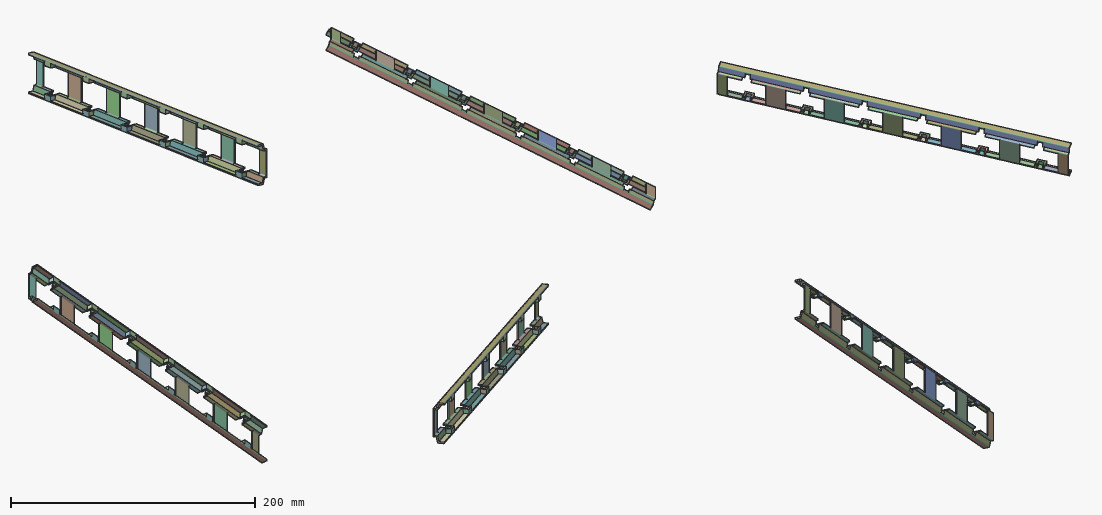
import cadquery as cq

length = 300.0
depth = 9.5
height = 35.0
thickness = 1.2

lip_thickness = 1.5
half_height = height / 2
foot_drop = 5.0
wall_back_at_lip = 5.7
wall_back_at_foot = 7.0
lip_bend_radius = 1.0
lip_edge_radius = 0.5
foot_outer_radius = 0.5
foot_inner_radius = 1.0

bay_count = 6
bay_pitch = length / bay_count
window_length = 33.0
notch_length = 8.0
block_wall = 1.8
block_height = 5.5

pick_margin = 0.03

bay_centres = [(i + 0.5) * bay_pitch for i in range(bay_count)]


def box(x_start, x_end, y_start, y_end, z_start, z_end):
    """Box between two opposite corners."""
    size = (x_end - x_start, y_end - y_start, z_end - z_start)
    return cq.Workplane().box(*size, centered=False).translate((x_start, y_start, z_start))


def mirrored(upper):
    """An upper feature together with its mirror image below mid-height."""
    return upper.union(upper.mirror("XY"))


def round_edge(part, y, z, radius):
    """Fillet the lengthwise edge that runs through (y, z)."""
    near_corner = (-pick_margin, y - pick_margin, z - pick_margin)
    far_corner = (length + pick_margin, y + pick_margin, z + pick_margin)
    return part.edges(cq.selectors.BoxSelector(near_corner, far_corner)).fillet(radius)


def make_channel():
    """Full-length folded strip: web, feet, leaning walls and lips."""
    foot_top = half_height - foot_drop
    foot_bottom = foot_top - thickness
    lip_bottom = half_height - lip_thickness
    upper_half = (
        cq.Workplane("YZ")
        .moveTo(depth, 0)
        .lineTo(depth, foot_top)
        .lineTo(wall_back_at_foot, foot_top)
        .lineTo(wall_back_at_lip, half_height)
        .lineTo(0, half_height)
        .lineTo(0, lip_bottom)
        .lineTo(wall_back_at_lip - thickness, lip_bottom)
        .lineTo(wall_back_at_foot - thickness, foot_bottom)
        .lineTo(depth - thickness, foot_bottom)
        .lineTo(depth - thickness, 0)
        .close()
        .extrude(length)
    )

    upper_half = round_edge(upper_half, wall_back_at_lip, half_height, lip_bend_radius)
    upper_half = round_edge(upper_half, 0, half_height, lip_edge_radius)
    upper_half = round_edge(upper_half, depth, foot_top, foot_outer_radius)
    upper_half = round_edge(upper_half, depth - thickness, foot_bottom, foot_inner_radius)
    return mirrored(upper_half)


def make_window(x):
    """Opening through the web, reaching from foot to foot."""
    reach = half_height - foot_drop - thickness
    return box(x - window_length / 2, x + window_length / 2, wall_back_at_foot, depth, -reach, reach)


def make_notch(x):
    """Opening that removes web and feet, leaving the rails up to the block height."""
    x_start = x - notch_length / 2
    x_end = x + notch_length / 2
    reach = half_height - block_height
    behind_wall = box(x_start, x_end, wall_back_at_foot, depth, -half_height, half_height)
    between_blocks = box(x_start, x_end, 0, depth, -reach, reach)
    return behind_wall.union(between_blocks)


def make_blocks(x):
    """Pair of blocks that fill the rails between lip and leaning wall."""
    x_start = x - notch_length / 2
    x_end = x + notch_length / 2
    block_back = wall_back_at_lip - thickness / 2
    block_end = half_height - block_height
    lip_inside = half_height - lip_thickness
    upper = box(x_start, x_end, 0, block_back, block_end, lip_inside)
    return mirrored(upper)


def make_pocket(x):
    """Hollow that leaves the blocks as thin walls, open to the back and to mid-height."""
    half_width = notch_length / 2 - block_wall
    reach = half_height - lip_thickness
    return box(x - half_width, x + half_width, block_wall, depth, -reach, reach)


result = make_channel()
for centre in bay_centres:
    result = result.cut(make_window(centre)).union(make_blocks(centre))
    result = result.cut(make_notch(centre)).cut(make_pocket(centre))